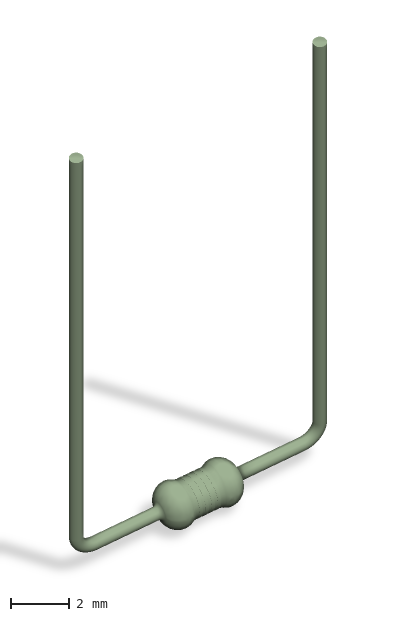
import cadquery as cq
import math

wire_diameter = 0.5
lead_spacing = 10.0
bend_radius = 0.75
lead_top_z = 19.5

body_length = 3.5
bulge_diameter = 1.8
bulge_center_y = 0.95
waist_diameter = 1.53

neck_fillet_radius = 0.175

band_diameter = 1.55
band_count = 4
band_width = 0.125
band_pitch = 2 * band_width

wire_radius = wire_diameter / 2
lead_y = lead_spacing / 2
half_length = body_length / 2
bulge_radius = bulge_diameter / 2
waist_radius = waist_diameter / 2

fillet_center_radius = wire_radius + neck_fillet_radius
fillet_run = half_length - bulge_center_y
fillet_depth = bulge_radius - fillet_center_radius
outer_arc_radius = (fillet_run**2 + fillet_depth**2 - neck_fillet_radius**2) / (
    2 * (bulge_radius - wire_radius)
)
outer_center_radius = bulge_radius - outer_arc_radius

tangent_share = outer_arc_radius / (outer_arc_radius + neck_fillet_radius)
neck_start_y = bulge_center_y + tangent_share * fillet_run
neck_start_radius = outer_center_radius + tangent_share * (fillet_center_radius - outer_center_radius)

waist_end_y = (band_count - 1) * band_pitch / 2 + band_width / 2

shoulder_run = (bulge_center_y - waist_end_y) / 2
shoulder_drop = (bulge_radius - waist_radius) / 2
shoulder_arc_radius = (shoulder_run**2 + shoulder_drop**2) / (2 * shoulder_drop)
inflection_radius = bulge_radius - shoulder_drop
inflection_y = waist_end_y + shoulder_run


def point_on_arc(center_y, center_radius, arc_radius, run):
    """Point (radius, y) on the outer side of an arc, offset by run along Y from its centre."""
    return center_radius + math.sqrt(arc_radius**2 - run**2), center_y + run


def make_body_end():
    """Turned end of the body on the +Y side, with shoulder, bulge and neck."""
    outer_mid = point_on_arc(
        bulge_center_y, outer_center_radius, outer_arc_radius, (neck_start_y - bulge_center_y) / 2
    )
    shoulder_mid = point_on_arc(
        bulge_center_y, bulge_radius - shoulder_arc_radius, shoulder_arc_radius, -shoulder_run / 2
    )
    hollow_mid = (2 * inflection_radius - shoulder_mid[0], 2 * inflection_y - shoulder_mid[1])
    return (
        cq.Workplane("XY")
        .moveTo(0, waist_end_y)
        .lineTo(waist_radius, waist_end_y)
        .threePointArc(hollow_mid, (inflection_radius, inflection_y))
        .threePointArc(shoulder_mid, (bulge_radius, bulge_center_y))
        .threePointArc(outer_mid, (neck_start_radius, neck_start_y))
        .radiusArc((wire_radius, half_length), neck_fillet_radius)
        .lineTo(0, half_length)
        .close()
        .revolve(360, (0, 0, 0), (0, 1, 0))
    )


def make_disc(diameter, width, center_y):
    """Round disc on the body axis, centred at center_y."""
    return (
        cq.Workplane("XZ", origin=(0, center_y + width / 2, 0))
        .circle(diameter / 2)
        .extrude(width)
    )


def make_wire():
    """Continuous U-shaped wire through the body."""
    bend_start_y = lead_y - bend_radius
    bend_offset = bend_radius * math.sqrt(0.5)
    bend_mid_y = bend_start_y + bend_offset
    bend_mid_z = bend_radius - bend_offset
    path = (
        cq.Workplane("YZ")
        .moveTo(-lead_y, lead_top_z)
        .lineTo(-lead_y, bend_radius)
        .threePointArc((-bend_mid_y, bend_mid_z), (-bend_start_y, 0))
        .lineTo(bend_start_y, 0)
        .threePointArc((bend_mid_y, bend_mid_z), (lead_y, bend_radius))
        .lineTo(lead_y, lead_top_z)
    )
    lead_end = cq.Workplane("XY", origin=(0, -lead_y, lead_top_z)).circle(wire_radius)
    return lead_end.sweep(path)


body_end = make_body_end()
body = make_disc(waist_diameter, 2 * waist_end_y, 0)
body = body.union(body_end).union(body_end.mirror("XZ"))
for index in range(band_count):
    band_y = (index - (band_count - 1) / 2) * band_pitch
    body = body.union(make_disc(band_diameter, band_width, band_y))

result = body.union(make_wire())